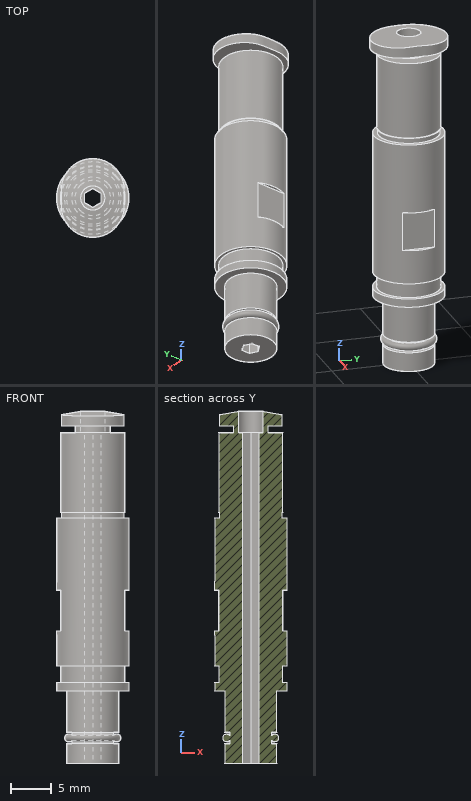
import cadquery as cq
import math

TOTAL_HEIGHT = 43.75
RING_GROOVE_BOTTOM = 2.5
RING_GROOVE_TOP = 3.9
FLANGE_BOTTOM = 9.0
FLANGE_TOP = 10.1
BARREL_BOTTOM = 12.1
BARREL_TOP = 30.5
RELIEF_TOP = 31.2
SHOULDER_HEIGHT = 41.1
HEAD_BOTTOM = 41.9

SPIGOT_RADIUS = 3.25
RING_GROOVE_RADIUS = 2.6
BARREL_RADIUS = 4.5
BODY_RADIUS = 4.0
RELIEF_RADIUS = 3.9
NECK_RADIUS = 2.2

RING_OUTER_RADIUS = 3.5
RING_SECTION_RADIUS = 0.5
RING_CENTRE_HEIGHT = (RING_GROOVE_BOTTOM + RING_GROOVE_TOP) / 2

HEAD_WIDTH = 7.8
HEAD_LENGTH = 9.8
CROWN_DROP = 0.6

FLAT_BOTTOM = 16.5
FLAT_HEIGHT = 5.0

BORE_RADIUS = 1.5
BORE_FLOOR = SHOULDER_HEIGHT
HEX_ACROSS_FLATS = 2.0


def cylinder(radius, bottom, top):
    """Cylinder on the Z axis between two heights."""
    return cq.Workplane("XY").workplane(offset=bottom).circle(radius).extrude(top - bottom)


def make_stem():
    """Stack of coaxial cylinders from the spigot up to the neck."""
    steps = [
        (SPIGOT_RADIUS, RING_GROOVE_BOTTOM),
        (RING_GROOVE_RADIUS, RING_GROOVE_TOP),
        (SPIGOT_RADIUS, FLANGE_BOTTOM),
        (BARREL_RADIUS, FLANGE_TOP),
        (BODY_RADIUS, BARREL_BOTTOM),
        (BARREL_RADIUS, BARREL_TOP),
        (RELIEF_RADIUS, RELIEF_TOP),
        (BODY_RADIUS, SHOULDER_HEIGHT),
        (NECK_RADIUS, HEAD_BOTTOM),
    ]
    stem = cq.Workplane("XY")
    bottom = 0
    for radius, top in steps:
        stem = stem.union(cylinder(radius, bottom, top))
        bottom = top
    return stem


def make_sealing_ring():
    """Round-section ring around the spigot."""
    ring_centre_radius = RING_OUTER_RADIUS - RING_SECTION_RADIUS
    return (
        cq.Workplane("XZ")
        .center(-ring_centre_radius, RING_CENTRE_HEIGHT)
        .circle(RING_SECTION_RADIUS)
        .revolve(360, (ring_centre_radius, 0), (ring_centre_radius, 1))
    )


def make_head():
    """Oblong plate, longer along Y, trimmed by a shallow cone."""
    plate = (
        cq.Workplane("XY")
        .workplane(offset=HEAD_BOTTOM)
        .slot2D(HEAD_LENGTH, HEAD_WIDTH, angle=90)
        .extrude(TOTAL_HEIGHT - HEAD_BOTTOM)
    )
    end_radius = HEAD_LENGTH / 2
    slope = CROWN_DROP / (end_radius - BORE_RADIUS)
    apex_height = TOTAL_HEIGHT + slope * BORE_RADIUS
    cone_base_radius = (apex_height - HEAD_BOTTOM) / slope
    cone = (
        cq.Workplane("XZ")
        .moveTo(0, HEAD_BOTTOM)
        .lineTo(cone_base_radius, HEAD_BOTTOM)
        .lineTo(0, apex_height)
        .close()
        .revolve()
    )
    return plate.intersect(cone)


def make_wrench_flat(side):
    """Block removed from the barrel on the +X (side = 1) or -X (side = -1) side."""
    flat_depth = BARREL_RADIUS - BODY_RADIUS
    flat_centre = (
        side * (BODY_RADIUS + flat_depth / 2),
        0,
        FLAT_BOTTOM + FLAT_HEIGHT / 2,
    )
    return cq.Workplane("XY").box(flat_depth, 2 * BARREL_RADIUS, FLAT_HEIGHT).translate(flat_centre)


def make_hex_hole():
    """Hexagonal hole through the full height, with two corners on the Y axis."""
    corner_diameter = HEX_ACROSS_FLATS / math.cos(math.pi / 6)
    hexagon = cq.Workplane("XY").polygon(6, corner_diameter).extrude(TOTAL_HEIGHT)
    return hexagon.rotate((0, 0, 0), (0, 0, 1), 90)


result = make_stem().union(make_sealing_ring()).union(make_head())
for side in (-1, 1):
    result = result.cut(make_wrench_flat(side))
result = result.cut(cylinder(BORE_RADIUS, BORE_FLOOR, TOTAL_HEIGHT)).cut(make_hex_hole())